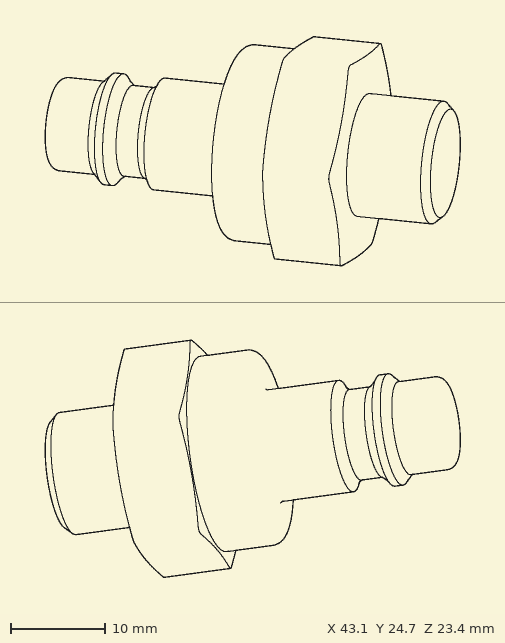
import cadquery as cq
import math

nose_diameter = 10.0
lip_diameter = 12.0
groove_diameter = 9.75
collar_diameter = 21.0
spigot_diameter = 13.15

lip_start = 5.0
lip_crest_length = 0.9
groove_start = 8.05
groove_end = 10.45
shank_start = 11.45
collar_start = 20.0
hex_start = 26.1
hex_length = 7.95
total_length = 43.1

edge_radius = 1.0
collar_root_radius = 0.75
spigot_chamfer_length = 0.85
spigot_chamfer_depth = 0.78
lip_flank_sag = 0.1
shank_flank_sag = 0.17

hex_across_flats = 21.9
hex_corner_radius = 1.08
hex_tilt = 8.7
hex_chamfer_length = 0.35


def make_nipple():
    """Revolve the plug end: nose, locking lip, groove and shank, up to the collar."""
    nose = nose_diameter / 2
    lip = lip_diameter / 2
    groove = groove_diameter / 2
    collar = collar_diameter / 2
    lip_crest_start = lip_start + lip - nose
    lip_crest_end = lip_crest_start + lip_crest_length
    bend = math.sqrt(0.5)
    profile = (
        cq.Workplane("XY")
        .lineTo(0, nose - edge_radius)
        .threePointArc(
            (edge_radius * (1 - bend), nose - edge_radius * (1 - bend)),
            (edge_radius, nose),
        )
        .lineTo(lip_start, nose)
        .lineTo(lip_crest_start, lip)
        .lineTo(lip_crest_end, lip)
        .sagittaArc((groove_start, groove), -lip_flank_sag)
        .lineTo(groove_end, groove)
        .sagittaArc((shank_start, lip), -shank_flank_sag)
        .lineTo(collar_start - collar_root_radius, lip)
        .threePointArc(
            (
                collar_start - collar_root_radius * (1 - bend),
                lip + collar_root_radius * (1 - bend),
            ),
            (collar_start, lip + collar_root_radius),
        )
        .lineTo(collar_start, collar - edge_radius)
        .threePointArc(
            (
                collar_start + edge_radius * (1 - bend),
                collar - edge_radius * (1 - bend),
            ),
            (collar_start + edge_radius, collar),
        )
        .lineTo(hex_start, collar)
        .lineTo(hex_start, 0)
        .close()
    )
    return profile.revolve(360, (0, 0, 0), (1, 0, 0))


def make_hexagon():
    """Rounded hexagonal prism whose corners are chamfered by a cone at both ends."""
    corner_diameter = hex_across_flats / math.cos(math.pi / 6)
    prism = (
        cq.Workplane("YZ", origin=(hex_start, 0, 0))
        .polygon(6, corner_diameter)
        .extrude(hex_length)
        .edges("|X")
        .fillet(hex_corner_radius)
        .rotate((0, 0, 0), (1, 0, 0), -hex_tilt)
    )
    chamfered_cylinder = (
        cq.Workplane("YZ", origin=(hex_start, 0, 0))
        .circle(corner_diameter / 2)
        .extrude(hex_length)
        .faces("<X or >X")
        .chamfer(hex_chamfer_length, (corner_diameter - hex_across_flats) / 2)
    )
    return prism.intersect(chamfered_cylinder)


def make_spigot():
    """Plain cylindrical connection end with a chamfered tip."""
    hex_end = hex_start + hex_length
    radius = spigot_diameter / 2
    profile = (
        cq.Workplane("XY", origin=(hex_end, 0, 0))
        .lineTo(0, radius)
        .lineTo(total_length - hex_end - spigot_chamfer_length, radius)
        .lineTo(total_length - hex_end, radius - spigot_chamfer_depth)
        .lineTo(total_length - hex_end, 0)
        .close()
    )
    return profile.revolve(360, (0, 0, 0), (1, 0, 0))


result = make_nipple().union(make_hexagon()).union(make_spigot())